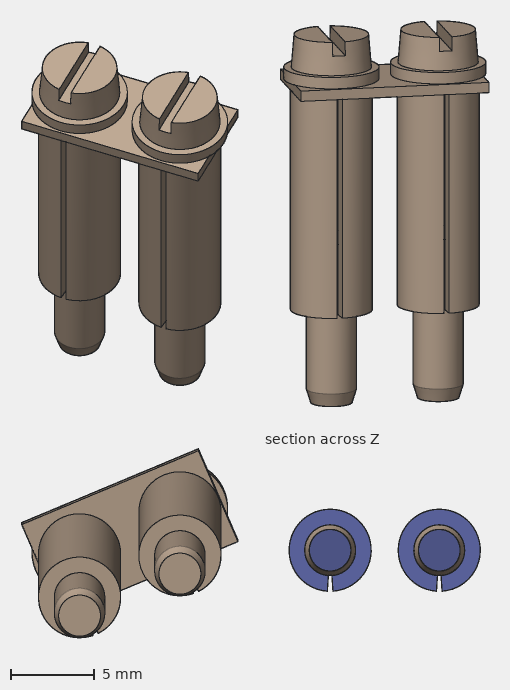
import cadquery as cq

total_height = 22.5
screw_spacing = 6.5
screw_positions = (-screw_spacing / 2, screw_spacing / 2)

head_height = 2.0
head_base_diameter = 4.8
head_top_diameter = 4.45
driver_slot_width = 0.76
driver_slot_depth = 0.83

pin_diameter = 3.02
shank_diameter = 2.5
tip_diameter = shank_diameter
tip_height = 0.83
flare_bottom_z = 9.97
flare_height = 0.79

washer_diameter = 5.7
washer_thickness = 0.7
plate_length = 11.45
plate_width = 6.0
plate_thickness = 0.63
sleeve_diameter = 4.9
sleeve_bottom_z = 5.67
sleeve_slit_angle = 7.5

head_bottom_z = total_height - head_height
plate_top_z = head_bottom_z - washer_thickness
plate_bottom_z = plate_top_z - plate_thickness
sleeve_length = plate_bottom_z - sleeve_bottom_z


def make_screw(x):
    """Slotted screw revolved about its own axis."""
    body = (
        cq.Workplane("XZ")
        .polyline([
            (0, 0),
            (tip_diameter / 2, 0),
            (pin_diameter / 2, tip_height),
            (pin_diameter / 2, flare_bottom_z),
            (shank_diameter / 2, flare_bottom_z + flare_height),
            (shank_diameter / 2, head_bottom_z),
            (head_base_diameter / 2, head_bottom_z),
            (head_top_diameter / 2, total_height),
            (0, total_height),
        ])
        .close()
        .revolve(360, (0, 0, 0), (0, 1, 0))
    )
    driver_slot = (
        cq.Workplane("XY", origin=(0, 0, total_height - driver_slot_depth))
        .rect(driver_slot_width, head_base_diameter)
        .extrude(driver_slot_depth)
    )
    return body.cut(driver_slot).translate((x, 0, 0))


def make_washer(x):
    """Flat ring between the screw head and the plate."""
    return (
        cq.Workplane("XY", origin=(x, 0, plate_top_z))
        .circle(washer_diameter / 2)
        .circle(shank_diameter / 2)
        .extrude(washer_thickness)
    )


def make_sleeve(x):
    """Tube around the pin, split by a radial-walled slit on its -Y side."""
    wall_thickness = (sleeve_diameter - pin_diameter) / 2
    mean_radius = (sleeve_diameter + pin_diameter) / 4
    half_slit_turn = sleeve_slit_angle / 2
    return (
        cq.Workplane("XZ")
        .center(mean_radius, sleeve_bottom_z + sleeve_length / 2)
        .rect(wall_thickness, sleeve_length)
        .revolve(360 - sleeve_slit_angle, (-mean_radius, 0, 0), (-mean_radius, -1, 0))
        .rotate((0, 0, 0), (0, 0, 1), -90 - half_slit_turn)
        .translate((x, 0, 0))
    )


def make_plate():
    """Rectangular bridge with a close-fitting hole for each shank."""
    blank = (
        cq.Workplane("XY", origin=(0, 0, plate_bottom_z))
        .rect(plate_length, plate_width)
        .extrude(plate_thickness)
    )
    shank_holes = (
        cq.Workplane("XY", origin=(0, 0, plate_bottom_z))
        .pushPoints([(x, 0) for x in screw_positions])
        .circle(shank_diameter / 2)
        .extrude(plate_thickness)
    )
    return blank.cut(shank_holes)


plate = make_plate()
bodies = [plate.val()]
for position in screw_positions:
    bodies.append(make_screw(position).val())
    bodies.append(make_washer(position).val())
    bodies.append(make_sleeve(position).val())

result = cq.Compound.makeCompound(bodies)